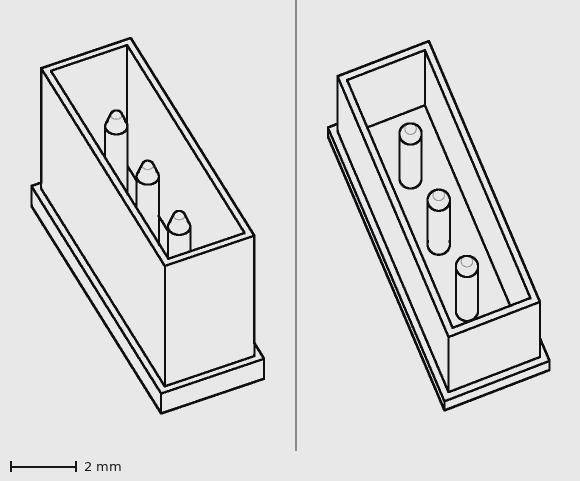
import cadquery as cq
import math

flange_length = 9.45
flange_width = 3.45
flange_height = 0.9

total_height = 6.3
flange_ledge = 0.225
shroud_length = flange_length - 2 * flange_ledge
shroud_width = flange_width - 2 * flange_ledge
shroud_height = total_height - flange_height
wall = 0.225

pin_count = 3
pin_pitch = 2.286
pin_radius = 0.34
tip_radius = 0.175
taper_start_z = 5.2
taper_end_z = 5.7
dome_height = 0.12


def make_housing():
    """Flange with a hollow shroud whose cavity floor is level with the flange top."""
    flange = cq.Workplane("XY").rect(flange_length, flange_width).extrude(flange_height)
    shroud = (
        cq.Workplane("XY", origin=(0, 0, flange_height))
        .rect(shroud_length, shroud_width)
        .rect(shroud_length - 2 * wall, shroud_width - 2 * wall)
        .extrude(shroud_height)
    )
    return flange.union(shroud)


def make_pin(x):
    """Round pin with a tapered tip capped by a shallow spherical dome, rooted on the cavity floor."""
    dome_sphere_radius = (tip_radius**2 + dome_height**2) / (2 * dome_height)
    pin_top_z = taper_end_z + dome_height
    half_angle = math.asin(tip_radius / dome_sphere_radius) / 2
    dome_middle = (
        dome_sphere_radius * math.sin(half_angle),
        pin_top_z - dome_sphere_radius * (1 - math.cos(half_angle)),
    )
    profile = (
        cq.Workplane("XZ")
        .moveTo(0, flange_height)
        .lineTo(pin_radius, flange_height)
        .lineTo(pin_radius, taper_start_z)
        .lineTo(tip_radius, taper_end_z)
        .threePointArc(dome_middle, (0, pin_top_z))
        .close()
    )
    return profile.revolve(360, (0, 0, 0), (0, 1, 0)).translate((x, 0, 0))


result = make_housing()
for index in range(pin_count):
    pin_x = (index - (pin_count - 1) / 2) * pin_pitch
    result = result.union(make_pin(pin_x))